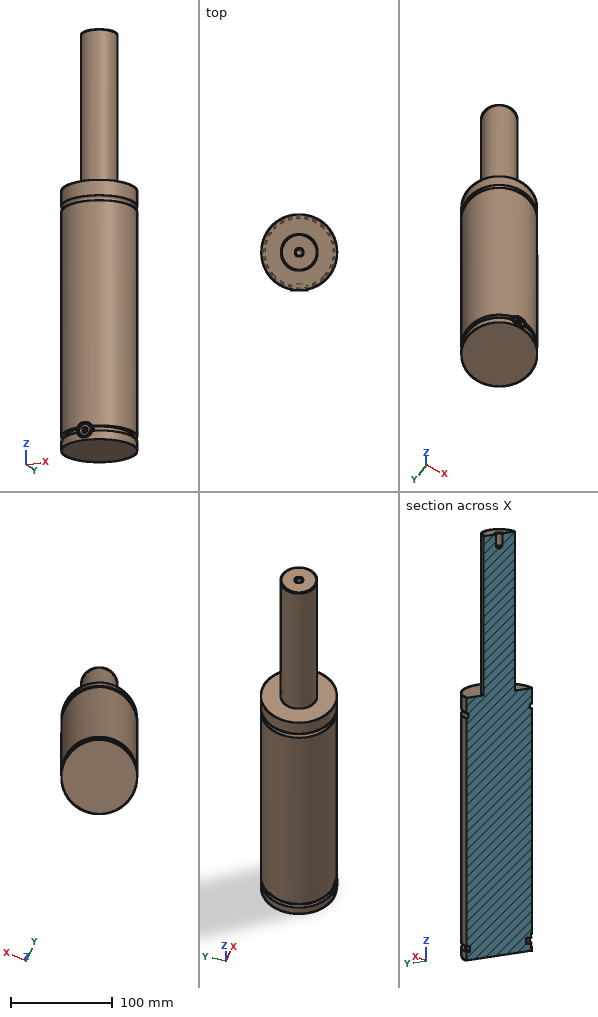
import cadquery as cq
import math

total_height = 430.0
body_diameter = 75.0
body_height = 268.0
rod_diameter = 36.0
body_radius = body_diameter / 2
rod_radius = rod_diameter / 2
rod_edge_chamfer = 1.0

base_groove_bottom = 9.0
base_groove_width = 5.0
base_groove_depth = 4.0

collar_height = 16.0
collar_groove_width = 5.0
collar_groove_depth = 2.35

rod_hole_diameter = 7.0
rod_hole_mouth_diameter = 8.5
rod_hole_depth = 13.0
rod_hole_tip_height = rod_hole_diameter / 2 / math.tan(math.radians(118 / 2))

plug_height = 10.8
plug_diameter = 16.0
plug_recess_diameter = 14.0
plug_recess_depth = 1.0
plug_root = 26.0
socket_across_flats = 5.0
socket_depth = 6.5


def make_cylinder_and_rod():
    """Revolve the body, both grooves and the rod about Z."""
    base_groove_top = base_groove_bottom + base_groove_width
    base_groove_radius = body_radius - base_groove_depth
    collar_bottom = body_height - collar_height
    collar_groove_bottom = collar_bottom - collar_groove_width
    collar_groove_middle = collar_bottom - collar_groove_width / 2
    profile = (
        cq.Workplane("XZ")
        .lineTo(body_radius, 0)
        .lineTo(body_radius, base_groove_bottom)
        .lineTo(base_groove_radius, base_groove_bottom)
        .lineTo(base_groove_radius, base_groove_top)
        .lineTo(body_radius, base_groove_top)
        .lineTo(body_radius, collar_groove_bottom)
        .threePointArc(
            (body_radius - collar_groove_depth, collar_groove_middle),
            (body_radius, collar_bottom),
        )
        .lineTo(body_radius, body_height)
        .lineTo(rod_radius, body_height)
        .lineTo(rod_radius, total_height - rod_edge_chamfer)
        .lineTo(rod_radius - rod_edge_chamfer, total_height)
        .lineTo(0, total_height)
        .close()
    )
    return profile.revolve(360, (0, 0, 0), (0, 1, 0))


def make_rod_hole():
    """Blind hole with a 118 degree drill point and a 45 degree countersunk mouth."""
    mouth_chamfer = (rod_hole_mouth_diameter - rod_hole_diameter) / 2
    hole_bottom = total_height - rod_hole_depth
    bore = (
        cq.Workplane("XZ", origin=(0, 0, hole_bottom))
        .moveTo(0, -rod_hole_tip_height)
        .lineTo(rod_hole_diameter / 2, 0)
        .lineTo(rod_hole_diameter / 2, rod_hole_depth)
        .lineTo(0, rod_hole_depth)
        .close()
        .revolve(360, (0, 0, 0), (0, 1, 0))
    )
    mouth = (
        cq.Workplane("XY", origin=(0, 0, total_height))
        .circle(rod_hole_mouth_diameter / 2)
        .extrude(-mouth_chamfer, taper=45)
    )
    return bore.union(mouth)


def plug_workplane(distance_from_axis):
    """Plane facing -Y, centred on the plug."""
    return cq.Workplane("XZ", origin=(0, -distance_from_axis, plug_height))


def make_plug():
    """Round plug reaching out to the outermost line of the body."""
    return plug_workplane(plug_root).circle(plug_diameter / 2).extrude(body_radius - plug_root)


def make_plug_cutter():
    """Shallow 45 degree tapered recess in the plug face with a hexagonal socket in its floor."""
    socket_across_corners = socket_across_flats / math.cos(math.pi / 6)
    recess = plug_workplane(body_radius).circle(plug_recess_diameter / 2)
    recess = recess.extrude(-plug_recess_depth, taper=45)
    socket = (
        plug_workplane(body_radius)
        .transformed(rotate=(0, 0, 90))
        .polygon(6, socket_across_corners)
        .extrude(-socket_depth)
    )
    return recess.union(socket)


result = make_cylinder_and_rod().cut(make_rod_hole()).union(make_plug()).cut(make_plug_cutter())